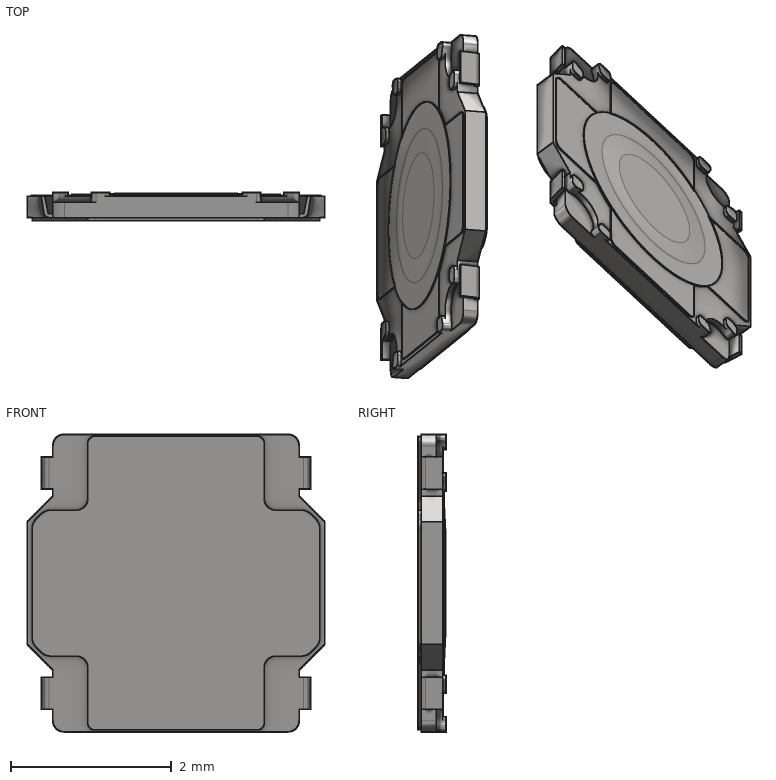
import cadquery as cq

SIZE = 3.7
HALF = SIZE / 2
TOTAL_DEPTH = 0.35

BODY_FRONT = 0.04
BODY_BACK = 0.307
SIDE_INSET = 0.32
EAR_HALF_HEIGHT = 0.762
BODY_CORNER_RADIUS = 0.14

COVER_HALF_WIDTH = 1.787
COVER_HALF_HEIGHT = 1.825
COVER_ARM_HALF_WIDTH = 1.095
COVER_EAR_HALF_HEIGHT = 0.905
COVER_EAR_CHAMFER = 0.16
COVER_EAR_RADIUS = 0.17
COVER_INNER_RADIUS = 0.148
COVER_OUTER_RADIUS = 0.08

POCKET_FLOOR = 0.23
POCKET_RADIUS = 0.3
POCKET_SETBACK = 0.222
BOSS_REACH = 0.705
BOSS_LENGTH = 0.192
BOSS_EDGE_ROUNDING = 0.055
BOSS_INNER_ROUNDING = 0.05

PLATE_BACK = 0.32
PLATE_HALF_LENGTH = 1.8
PLATE_ARM_HALF_WIDTH = 0.777
PLATE_CORNER_RADIUS = 0.095
PAD_RADIUS = 1.295
PAD_BACK = 0.33
CONE_BASE_RADIUS = 0.962
CONE_TOP_RADIUS = 0.66
CONE_BACK = 0.345

TAB_TOP = 1.57
TAB_BOTTOM = 1.17
TAB_THICKNESS = 0.045
TAB_TIP_X = 1.675
TAB_KNEE_X = 1.63
TAB_BEND_RADIUS = 0.06

SIDE_X = HALF - SIDE_INSET
POCKET_X = SIDE_X - POCKET_SETBACK
POCKET_Z = HALF - POCKET_SETBACK
MIRRORS = ((1, 1), (1, -1), (-1, 1), (-1, -1))


def slab(sketch_points, front, back):
    """Extrude a closed X-Z outline from depth front to depth back."""
    plane = cq.Workplane("XZ", origin=(0, front, 0))
    return plane.polyline(sketch_points).close().extrude(front - back)


def disc(x, z, radius, front, back):
    """Round slab with its axis along Y through (x, z)."""
    return cq.Workplane("XZ", origin=(x, front, z)).circle(radius).extrude(front - back)


def block(left, right, bottom, top, front, back):
    """Rectangular slab between the given X, Z and Y limits."""
    return slab([(left, bottom), (right, bottom), (right, top), (left, top)], front, back)


def mirrored_outline(quarter):
    """Full X-Z outline from its quarter, listed from the +X axis round to the +Z axis."""
    upper = quarter + [(-x, z) for x, z in reversed(quarter)]
    return upper + [(-x, -z) for x, z in upper]


def make_body():
    """Main slab with an angled ear on each side and rounded corners."""
    ear = [(HALF, EAR_HALF_HEIGHT), (SIDE_X, EAR_HALF_HEIGHT + SIDE_INSET), (SIDE_X, HALF)]
    body = slab(mirrored_outline(ear), BODY_FRONT, BODY_BACK)
    for sx, sz in MIRRORS:
        corner = cq.selectors.NearestToPointSelector((sx * SIDE_X, BODY_FRONT, sz * HALF))
        body = body.edges("|Y").edges(corner).fillet(BODY_CORNER_RADIUS)
    return body


def make_front_cover():
    """Raised cross with rounded inner corners and chamfered, rounded side arms."""
    quarter = [
        (COVER_HALF_WIDTH, COVER_EAR_HALF_HEIGHT - COVER_EAR_CHAMFER),
        (COVER_HALF_WIDTH - COVER_EAR_CHAMFER, COVER_EAR_HALF_HEIGHT),
        (COVER_ARM_HALF_WIDTH, COVER_EAR_HALF_HEIGHT),
        (COVER_ARM_HALF_WIDTH, COVER_HALF_HEIGHT),
    ]
    radii = (COVER_EAR_RADIUS, COVER_EAR_RADIUS, COVER_INNER_RADIUS, COVER_OUTER_RADIUS)
    cover = slab(mirrored_outline(quarter), 0, BODY_FRONT)
    for sx, sz in MIRRORS:
        for (x, z), radius in zip(quarter, radii):
            corner = cq.selectors.NearestToPointSelector((sx * x, BODY_FRONT / 2, sz * z))
            cover = cover.edges("|Y").edges(corner).fillet(radius)
    return cover


def make_tab():
    """J-shaped strip bent back beside the upper right corner."""
    foot = BODY_FRONT + TAB_THICKNESS
    profile = (
        cq.Workplane("XY", origin=(0, 0, TAB_BOTTOM))
        .moveTo(SIDE_X - TAB_THICKNESS, BODY_FRONT)
        .lineTo(TAB_KNEE_X, BODY_FRONT)
        .lineTo(TAB_TIP_X, BODY_BACK)
        .lineTo(TAB_TIP_X - TAB_THICKNESS, BODY_BACK)
        .lineTo(TAB_KNEE_X - TAB_THICKNESS, foot)
        .lineTo(SIDE_X - TAB_THICKNESS, foot)
        .close()
    )
    bend = cq.selectors.NearestToPointSelector((TAB_KNEE_X, BODY_FRONT, (TAB_TOP + TAB_BOTTOM) / 2))
    return profile.extrude(TAB_TOP - TAB_BOTTOM).edges("|Z").edges(bend).fillet(TAB_BEND_RADIUS)


def make_cone():
    """Flat-topped shallow cone on the round pad."""
    profile = [
        (0, PAD_BACK),
        (CONE_BASE_RADIUS, PAD_BACK),
        (CONE_TOP_RADIUS, CONE_BACK),
        (0, CONE_BACK),
    ]
    return cq.Workplane("XY").polyline(profile).close().revolve(360, (0, 0, 0), (0, 1, 0))


def make_back_plate():
    """Two crossed rounded bars under a round pad and its cone."""
    long_side = 2 * PLATE_HALF_LENGTH
    short_side = 2 * PLATE_ARM_HALF_WIDTH
    plate = disc(0, 0, PAD_RADIUS, BODY_BACK, PAD_BACK).union(make_cone())
    for width, height in ((long_side, short_side), (short_side, long_side)):
        arm = block(-width / 2, width / 2, -height / 2, height / 2, BODY_BACK, PLATE_BACK)
        plate = plate.union(arm.edges("|Y").fillet(PLATE_CORNER_RADIUS))
    return plate


def corner_block(width, height):
    """Block filling the boss depth, measured inward from the upper right corner."""
    return block(SIDE_X - width, SIDE_X, HALF - height, HALF, POCKET_FLOOR, TOTAL_DEPTH)


def make_pocket_disc():
    return disc(POCKET_X, POCKET_Z, POCKET_RADIUS, POCKET_FLOOR, TOTAL_DEPTH)


def make_pocket():
    """Round pocket at the upper right corner, opened to both edges as far as the boss roundings."""
    opening_length = BOSS_REACH - 2 * BOSS_EDGE_ROUNDING
    opening_depth = BOSS_LENGTH / 2
    top_opening = corner_block(opening_length, opening_depth)
    side_opening = corner_block(opening_depth, opening_length)
    return make_pocket_disc().union(top_opening).union(side_opening)


def round_boss(boss, edge_side):
    """Round the two corners at the body edge, then the two inner ones."""
    boss = boss.faces(edge_side).edges("|Y").fillet(BOSS_EDGE_ROUNDING)
    inner_side = edge_side.replace(">", "<")
    return boss.faces(inner_side).edges("|Y").fillet(BOSS_INNER_ROUNDING)


def make_bosses():
    """Two rounded bosses, one where the pocket wall meets each body edge."""
    top_strip = corner_block(BOSS_REACH, BOSS_LENGTH).cut(corner_block(POCKET_SETBACK, BOSS_LENGTH))
    side_strip = corner_block(BOSS_LENGTH, BOSS_REACH).cut(corner_block(BOSS_LENGTH, POCKET_SETBACK))
    top_boss = round_boss(top_strip.cut(make_pocket_disc()), ">Z")
    side_boss = round_boss(side_strip.cut(make_pocket_disc()), ">X")
    return top_boss.union(side_boss)


def at_every_corner(shape):
    """The upper right shape together with its mirror images at the other corners."""
    upper = shape.union(shape.mirror("YZ"))
    return upper.union(upper.mirror("XY"))


result = (
    make_body()
    .cut(at_every_corner(make_pocket()))
    .union(make_front_cover())
    .union(make_back_plate())
    .union(at_every_corner(make_bosses()))
    .union(at_every_corner(make_tab()))
)